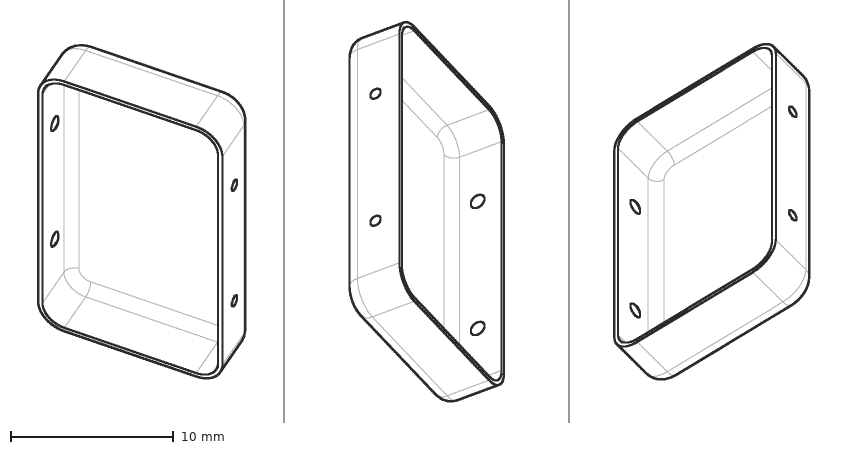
import cadquery as cq
import math

width = 12.6
depth = 4.0
height = 21.6
wall = 0.3
corner_radius = 1.8
back_radius = 1.0

dimple_radius = 0.37
dimple_depth = 0.17
dimple_spacing = 10.0
dimple_from_rim = 1.7

hollow_ball_radius = (dimple_radius**2 + dimple_depth**2) / (2 * dimple_depth)
bump_ball_radius = hollow_ball_radius + wall

rim_y = -depth / 2
dimple_y = rim_y + dimple_from_rim


def rounded_block(inset):
    """Block with rounded corners and back edge, inset from all outer faces except the rim."""
    block = (
        cq.Workplane("XZ", origin=(0, rim_y, 0))
        .rect(width - 2 * inset, height - 2 * inset)
        .extrude(-(depth - inset))
    )
    block = block.edges("|Y").fillet(corner_radius - inset)
    return block.faces(">Y").edges().fillet(back_radius - inset)


def round_cap(face_x, level, ball_radius):
    """Shallow dome pointing toward -X from face_x, with a straight root half a wall long behind it."""
    root_x = face_x + wall / 2
    cap_radius = math.sqrt(dimple_depth * (2 * ball_radius - dimple_depth))
    half_angle = math.asin(cap_radius / ball_radius) / 2
    arc_x = face_x - dimple_depth + ball_radius * (1 - math.cos(half_angle))
    arc_y = ball_radius * math.sin(half_angle)
    return (
        cq.Workplane("XY", origin=(0, dimple_y, level))
        .moveTo(face_x - dimple_depth, 0)
        .threePointArc((arc_x, arc_y), (face_x, cap_radius))
        .lineTo(root_x, cap_radius)
        .lineTo(root_x, 0)
        .close()
        .revolve(360, (0, 0, 0), (1, 0, 0))
    )


tray = rounded_block(0).cut(rounded_block(wall))

outer_x = width / 2
for level in (-dimple_spacing / 2, dimple_spacing / 2):
    bump = round_cap(outer_x - wall, level, bump_ball_radius)
    hollow = round_cap(outer_x, level, hollow_ball_radius)
    tray = tray.union(bump).union(bump.mirror("YZ"))
    tray = tray.cut(hollow).cut(hollow.mirror("YZ"))

result = tray